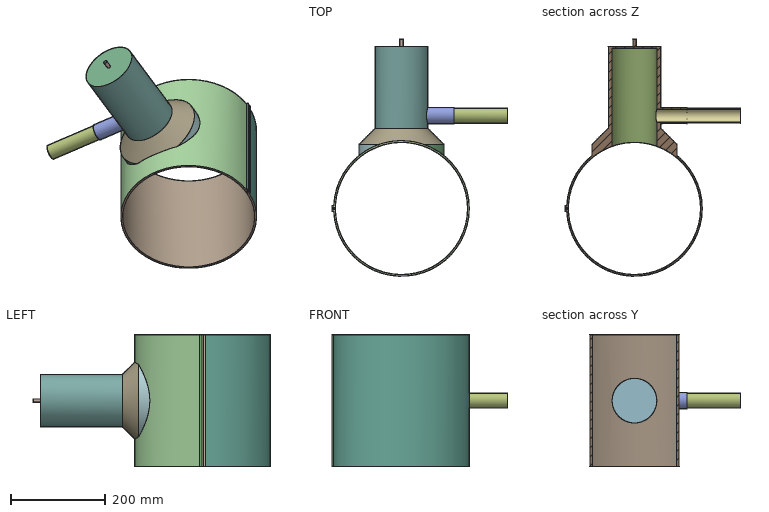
import cadquery as cq

ring_radius = 144.0
wall = 4.0
ring_height = 280.0

lug_reach = 147.5
lug_width = 4.5
lug_gap = 3.0
groove_depth = 2.0

pipe_radius = 56.0
pipe_end = 343.5
bore_radius = 47.5
end_cap = 4.0
bore_end = pipe_end - end_cap
saddle_radius = 90.5
cone_start = 135.5
cone_end = cone_start + saddle_radius - pipe_radius

pin_radius = 3.75
pin_end = 359.5

branch_y = 196.5
sleeve_radius = 17.5
sleeve_end = 111.5
branch_radius = 16.0
branch_bore_radius = 13.5
branch_end = 225.0


def rod_y(radius, start, end):
    """Solid cylinder on the Y axis between two Y positions."""
    return cq.Workplane("XZ", origin=(0, start, 0)).circle(radius).extrude(start - end)


def rod_z(radius):
    """Solid cylinder on the Z axis over the ring height."""
    return cq.Workplane("XY").circle(radius).extrude(ring_height / 2, both=True)


def make_neck():
    """Saddle, cone and pipe as one revolved body, with the end pin."""
    body = (
        cq.Workplane("XY")
        .polyline([
            (0, 0),
            (saddle_radius, 0),
            (saddle_radius, cone_start),
            (pipe_radius, cone_end),
            (pipe_radius, pipe_end),
            (0, pipe_end),
        ])
        .close()
        .revolve(360, (0, 0, 0), (0, 1, 0))
    )
    return body.union(rod_y(pin_radius, bore_end, pin_end))


def make_branch():
    """Sleeve and thinner tube leaving the side of the neck."""
    base = cq.Workplane("YZ", origin=(0, branch_y, 0))
    sleeve = base.circle(sleeve_radius).extrude(sleeve_end)
    return sleeve.union(base.circle(branch_radius).extrude(branch_end))


def make_branch_bore():
    """Cutter running from inside the neck out through the branch end."""
    base = cq.Workplane("YZ", origin=(0, branch_y, 0))
    return base.circle(branch_bore_radius).extrude(branch_end)


def make_lugs():
    """Two full-height strips on either side of a narrow gap."""
    length = lug_reach - ring_radius + wall / 2
    offset = (lug_gap + lug_width) / 2
    return (
        cq.Workplane("XY")
        .pushPoints([(length / 2 - lug_reach, side * offset) for side in (-1, 1)])
        .rect(length, lug_width)
        .extrude(ring_height / 2, both=True)
    )


def make_seam_groove():
    """Cutter for the full-height seam between the lugs."""
    groove_floor = ring_radius - groove_depth
    length = lug_reach - groove_floor
    return (
        cq.Workplane("XY")
        .center(length / 2 - lug_reach, 0)
        .rect(length, lug_gap)
        .extrude(ring_height / 2, both=True)
    )


outside = rod_z(ring_radius).union(make_neck()).union(make_branch()).union(make_lugs())
ring_bore = rod_z(ring_radius - wall)
neck_bore = rod_y(bore_radius, 0, bore_end)
hollow = outside.cut(ring_bore).cut(neck_bore).cut(make_branch_bore())
result = hollow.cut(make_seam_groove())